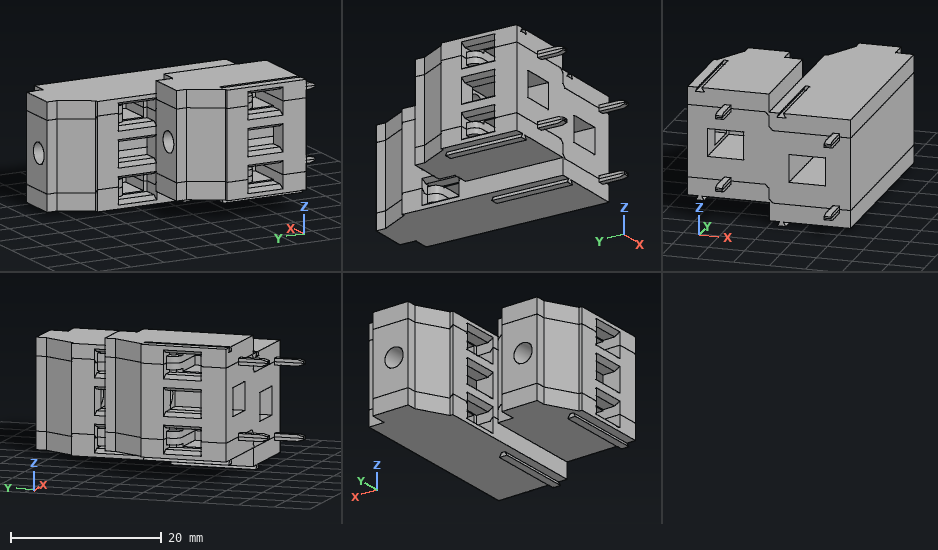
import cadquery as cq

PITCH = 5.08
SEAM_Z = PITCH
POLE_HEIGHT = 3 * PITCH
TALL_POLE_DROP = PITCH / 2
SEAM_CHAMFER = 0.55

TOTAL_WIDTH = 22.7
POLE_WIDTH = TOTAL_WIDTH / 2
LOW_POLE_LENGTH = 17.95
TALL_POLE_EXTRA = 13.5
SHOULDER_WIDTH = 0.45
SHOULDER_Y = 11.95
SLOPE_END_X = 2.95
SLOPE_END_Y = 16.47
TOP_END_X = 8.8
STEP_Y = 15.45

WINDOW_X = 2.77
WINDOW_WIDTH = 5.05
WINDOW_HEIGHT = 3.9
WINDOW_EXTRA_DEPTH = 1.0
BORE_X = WINDOW_X + WINDOW_WIDTH / 2
BORE_DIAMETER = 3.0

OPENING_TOP_Y = 8.77
LOW_OPENING_BOTTOM_Y = 3.5
TALL_OPENING_BOTTOM_Y = 2.98
OPENING_HEIGHT = WINDOW_HEIGHT
MOUTH_BEVEL_HEIGHT = 0.5
MOUTH_BEVEL_DEPTH = 0.9
OPENING_DEPTH = WINDOW_X

CLAMP_X = 1.25
CLAMP_BOTTOM_Y = 7.0
CLAMP_RADIUS = 1.2
LOW_CLAMP_HEIGHT = 1.8
TALL_CLAMP_HEIGHT = 2.38
POCKET_BOTTOM_Y = LOW_OPENING_BOTTOM_Y
POCKET_HEIGHT = 2.6
POCKET_DEPTH = WINDOW_WIDTH
LEDGE_RADIUS = 0.3
LEDGE_BOTTOM_Y = CLAMP_BOTTOM_Y + CLAMP_RADIUS - LEDGE_RADIUS

DOVETAIL_X = 1.7
DOVETAIL_NECK = 0.57
DOVETAIL_BASE = 1.25
DOVETAIL_DEPTH = 0.6

PIN_LENGTH = 4.05
PIN_WIDTH = 0.92
PIN_THICKNESS = 0.92
PIN_TIP_LENGTH = 0.78
PIN_TIP_THICKNESS = 0.45
LOW_PIN_X = 5.57
TALL_PIN_X = 9.35


def box(x, y, z_middle, width, length, height):
    """Box with its lowest X and Y corner at x, y and centred on z_middle."""
    corner = (x, y, z_middle - height / 2)
    return cq.Workplane("XY").box(width, length, height, centered=False).translate(corner)


def pole_blank(extra_length):
    outline = [
        (0, 0),
        (POLE_WIDTH, 0),
        (POLE_WIDTH, STEP_Y + extra_length),
        (TOP_END_X, STEP_Y + extra_length),
        (TOP_END_X, LOW_POLE_LENGTH + extra_length),
        (SLOPE_END_X, LOW_POLE_LENGTH + extra_length),
        (SLOPE_END_X, SLOPE_END_Y + extra_length),
        (SHOULDER_WIDTH, SHOULDER_Y + extra_length),
        (0, SHOULDER_Y + extra_length),
    ]
    return cq.Workplane("XY").polyline(outline).close().extrude(POLE_HEIGHT / 2, both=True)


def dovetail(top_z):
    """Dovetail prism that widens downwards from its neck at top_z."""
    outline = [
        (DOVETAIL_X - DOVETAIL_NECK / 2, top_z),
        (DOVETAIL_X + DOVETAIL_NECK / 2, top_z),
        (DOVETAIL_X + DOVETAIL_BASE / 2, top_z - DOVETAIL_DEPTH),
        (DOVETAIL_X - DOVETAIL_BASE / 2, top_z - DOVETAIL_DEPTH),
    ]
    return cq.Workplane("XZ").polyline(outline).close().extrude(-SHOULDER_Y)


def side_opening(z_middle, bottom_y, extra_length):
    """Opening in the -X side whose mouth is bevelled above and below."""
    mouth = OPENING_HEIGHT / 2
    throat = mouth - MOUTH_BEVEL_HEIGHT
    outline = [
        (0, z_middle - mouth),
        (MOUTH_BEVEL_DEPTH, z_middle - throat),
        (OPENING_DEPTH, z_middle - throat),
        (OPENING_DEPTH, z_middle + throat),
        (MOUTH_BEVEL_DEPTH, z_middle + throat),
        (0, z_middle + mouth),
    ]
    prism = cq.Workplane("XZ").polyline(outline).close().extrude(bottom_y - OPENING_TOP_Y)
    return prism.translate((0, bottom_y + extra_length, 0))


def rounded_block(x, bottom_y, radius, z_middle, height, extra_length):
    """Block on the opening's back wall and top end, with one rounded vertical edge."""
    block = box(x, bottom_y, z_middle, OPENING_DEPTH - x, OPENING_TOP_Y - bottom_y, height)
    rounding_blank = box(x, bottom_y, z_middle, radius, radius, height)
    rounding = (
        cq.Workplane("XY", origin=(x + radius, bottom_y + radius, z_middle))
        .circle(radius)
        .extrude(height / 2, both=True)
    )
    return block.cut(rounding_blank.cut(rounding)).translate((0, extra_length, 0))


def clamp_cavity(z_middle, bottom_y, clamp_height, has_ledge, extra_length):
    """Outer side opening with its clamp block left standing and a pocket in its back wall."""
    cavity = side_opening(z_middle, bottom_y, extra_length)
    clamp = rounded_block(CLAMP_X, CLAMP_BOTTOM_Y, CLAMP_RADIUS, z_middle, clamp_height, extra_length)
    cavity = cavity.cut(clamp)
    if has_ledge:
        ledge_x = OPENING_DEPTH - LEDGE_RADIUS
        ledge = rounded_block(
            ledge_x, LEDGE_BOTTOM_Y, LEDGE_RADIUS, z_middle, OPENING_HEIGHT, extra_length
        )
        cavity = cavity.cut(ledge)
    pocket = box(
        OPENING_DEPTH, POCKET_BOTTOM_Y + extra_length, z_middle,
        POCKET_DEPTH, CLAMP_BOTTOM_Y - POCKET_BOTTOM_Y, POCKET_HEIGHT,
    )
    return cavity.union(pocket)


def solder_pin(pin_x, z_middle):
    """Pin below the solder side, tapered in thickness at its tip."""
    half = PIN_THICKNESS / 2
    tip_half = PIN_TIP_THICKNESS / 2
    taper_y = PIN_TIP_LENGTH - PIN_LENGTH
    outline = [
        (0, z_middle - half),
        (0, z_middle + half),
        (taper_y, z_middle + half),
        (-PIN_LENGTH, z_middle + tip_half),
        (-PIN_LENGTH, z_middle - tip_half),
        (taper_y, z_middle - half),
    ]
    prism = cq.Workplane("YZ").polyline(outline).close().extrude(PIN_WIDTH / 2, both=True)
    return prism.translate((pin_x, 0, 0))


def pole(extra_length, opening_bottom_y, clamp_height, has_ledge, pin_x):
    """One complete pole, with its outer side at X = 0 and its middle at Z = 0."""
    body = pole_blank(extra_length)
    body = body.union(dovetail(-POLE_HEIGHT / 2))
    body = body.cut(dovetail(POLE_HEIGHT / 2))

    window_depth = OPENING_TOP_Y + WINDOW_EXTRA_DEPTH + extra_length
    body = body.cut(box(WINDOW_X, 0, 0, WINDOW_WIDTH, window_depth, WINDOW_HEIGHT))
    bore = (
        cq.Workplane("XZ", origin=(BORE_X, 0, 0))
        .circle(BORE_DIAMETER / 2)
        .extrude(-(LOW_POLE_LENGTH + extra_length))
    )
    body = body.cut(bore)

    body = body.cut(side_opening(0, opening_bottom_y, extra_length))
    for z_middle in (-SEAM_Z, SEAM_Z):
        cavity = clamp_cavity(z_middle, opening_bottom_y, clamp_height, has_ledge, extra_length)
        body = body.cut(cavity)
        body = body.union(solder_pin(pin_x, z_middle))
    return body


def seam_line(z):
    """Stepped seam across both poles, at height z in the low pole."""
    tall_z = z - TALL_POLE_DROP
    return [
        (0, z),
        (POLE_WIDTH - SEAM_CHAMFER, z),
        (POLE_WIDTH, z - SEAM_CHAMFER),
        (POLE_WIDTH, tall_z + SEAM_CHAMFER),
        (POLE_WIDTH + SEAM_CHAMFER, tall_z),
        (TOTAL_WIDTH, tall_z),
    ]


def layer(block, lower_z, upper_z):
    """The part of the block between two stepped seam lines."""
    outline = seam_line(lower_z) + seam_line(upper_z)[::-1]
    length = LOW_POLE_LENGTH + TALL_POLE_EXTRA + PIN_LENGTH
    prism = cq.Workplane("XZ", origin=(0, -PIN_LENGTH, 0)).polyline(outline).close().extrude(-length)
    return block.intersect(prism).solids()


low_pole = pole(
    extra_length=0,
    opening_bottom_y=LOW_OPENING_BOTTOM_Y,
    clamp_height=LOW_CLAMP_HEIGHT,
    has_ledge=True,
    pin_x=LOW_PIN_X,
)
tall_pole = pole(
    extra_length=TALL_POLE_EXTRA,
    opening_bottom_y=TALL_OPENING_BOTTOM_Y,
    clamp_height=TALL_CLAMP_HEIGHT,
    has_ledge=False,
    pin_x=TALL_PIN_X,
)
whole_block = low_pole.union(tall_pole.translate((POLE_WIDTH, 0, -TALL_POLE_DROP)))

BEYOND_BLOCK = POLE_HEIGHT
top_layer = layer(whole_block, SEAM_Z, BEYOND_BLOCK)
middle_layer = layer(whole_block, -SEAM_Z, SEAM_Z)
bottom_layer = layer(whole_block, -BEYOND_BLOCK, -SEAM_Z)

result = cq.Compound.makeCompound([top_layer.val(), middle_layer.val(), bottom_layer.val()])